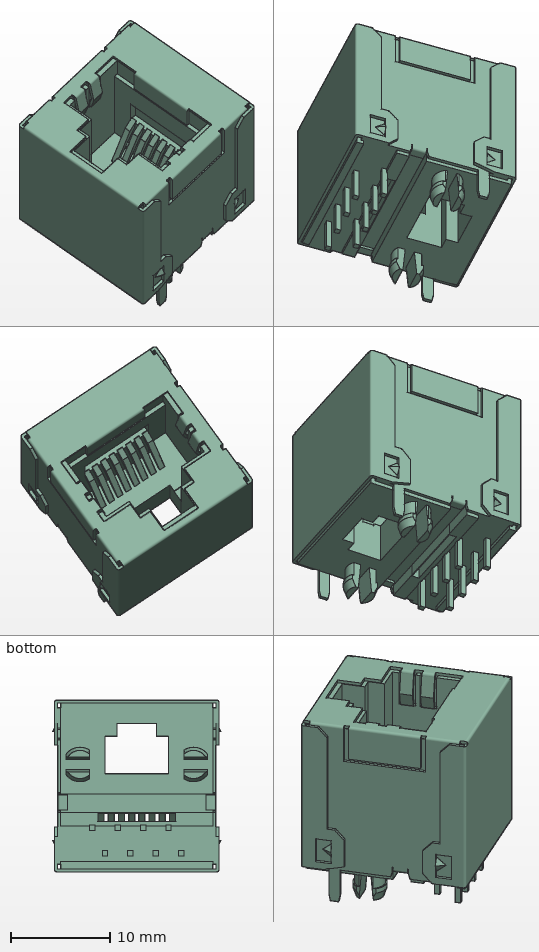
import cadquery as cq


SHEET = 0.32
SHIELD_X, SHIELD_Y = 16.59, 17.3
SHIELD_TOP = 16.11
BEND = 0.28
PANEL_X = 7.95
BODY_X = PANEL_X - SHEET
BODY_Y = SHIELD_Y / 2 - SHEET
BODY_TOP = SHIELD_TOP - SHEET
END_PANEL_HALF = 7.6
SIDE_PANEL_HALF = 7.88

FLAP_TOP_Y, FLAP_WAIST_Y, FLAP_SHOULDER_Y, FLAP_TIP_Y = 6.9, 5.91, 5.12, 4.12
FLAP_WAIST_Z, FLAP_SHOULDER_Z, FLAP_TIP_Z = 14.83, 4.59, 3.57
BACK_FLAP_FOOT = ((FLAP_TIP_Y, 1.0), (5.08, 0))
FRONT_FLAP_FOOT = ((FLAP_TIP_Y, 0.6), (6.3, 0))
WINDOW_Y0, WINDOW_Y1 = 5.48, 7.11
WINDOW_Z0, WINDOW_Z1 = 0.77, 3.33
SPIKE_X, SPIKE_Y, SPIKE_Z = 8.45, 6.46, 2.1
SPIKE_HALF_HEIGHT = 0.79

TAB_HALF, TAB_BOTTOM = 3.78, 12.59
TAB_GAP, TAB_GAP_BELOW = 0.51, 0.32
NOTCH_Y0, NOTCH_Y1 = 0.8, 2.68
NOTCH_TAPER = 0.15
FOOT_Z0 = 0.53
FOOT_Z1 = FOOT_Z0 + SHEET
FOOT_LENGTH = 0.98
FOOT_SLIT, FOOT_SLIT_TOP = 0.1, 1.06
SLIT_Y0, SLIT_Y1 = NOTCH_Y0, NOTCH_Y1 - NOTCH_TAPER
LEG_Y, LEG_WIDTH, LEG_TIP_WIDTH = -5.25, 1.18, 0.87
LEG_TAPER_Z = -2.8
PIN_BOTTOM = -3.59

CAVITY_HALF, CAVITY_BACK, CAVITY_FRONT = 5.99, 3.55, -3.27
LATCH_HALF, LATCH_FRONT = 3.2, -4.98
TONGUE_HALF, TONGUE_FRONT = 1.97, -7.35
MOUTH_HALF, MOUTH_BACK, MOUTH_FRONT = 6.52, 3.95, -3.65
MOUTH_LATCH_HALF, MOUTH_LATCH_FRONT = 3.29, -5.4
MOUTH_TONGUE_HALF, MOUTH_TONGUE_FRONT = 2.09, -7.86
FLOOR_Z, FLOOR_STEP, FLOOR_STEP_Y = 3.94, 0.2, -1.99
LEDGE_Z = 13.55
FLOOR_HOLE_BACK, RAMP_Y, RAMP_RISE = -1.25, -6.26, 0.15
LIP_HALF, LIP_THICKNESS = 3.53, 0.3
LIP_BEND = 0.25
RECESS_BACK = 3.98

SPRING_CENTERS = (0.5, -1.71)
SPRING_WIDTH, SPRING_SLOT = 1.34, 1.73
SPRING_KNEE_X, SPRING_KNEE_Z = 5.54, 13.7
SPRING_END_X, SPRING_END_Z = 5.87, 12.31
SPRING_BEND_X, SPRING_BEND = 6.26, 0.32
SPRING_POCKET_Z = SPRING_END_Z

CONTACTS = 8
CONTACT_PITCH, CONTACT_WIDTH, CONTACT_THICKNESS = 1.02, 0.63, 0.3
CONTACT_KNEE_Y, CONTACT_TIP_Y = 2.75, 0.65
CONTACT_ROOT_Z, CONTACT_KNEE_Z = 8.18, 7.39
COMB_HALF = CONTACT_PITCH * (CONTACTS - 1) / 2 + CONTACT_WIDTH / 2
WINDOW_TOP, WINDOW_BOTTOM, WINDOW_DEPTH = 10.7, 7.98, 1.58
BAR_TOP, BAR_DEPTH, BAR_RADIUS = 9.85, 0.79, 0.75
PIN_PITCH, PIN_X, PIN_Y = 1.28, 0.53, 0.55
PIN_ROWS = (4.2, 6.74)

BASE_Z = -0.43
RECESS_Y0, RECESS_Y1 = 4.02, 7.58
PEG_X, PEG_Y = 5.71, -2.17
PEG_INNER_FLAT, PEG_OUTER_FLAT = 0.95, 1.4
PEG_R, PEG_BARB_R, PEG_TIP_R = 1.58, 1.73, 1.42
PEG_BARB_TOP, PEG_BARB_BOTTOM, PEG_BOTTOM = -2.0, -2.5, -3.43
PEG_SLOT_TOP, PEG_SLOT_BOTTOM = 0.98, 1.5

OVER = 0.2


def block(x0, x1, y0, y1, z0, z1):
    return cq.Workplane("XY").box(x1 - x0, y1 - y0, z1 - z0, centered=False).translate((x0, y0, z0))


def extrude_x(points, x0, x1):
    """Extrude a closed (y, z) outline from x0 to x1."""
    return cq.Workplane("YZ").workplane(offset=x0).polyline(points).close().extrude(x1 - x0)


def both_sides(shape):
    return shape.union(shape.mirror("YZ"))


def mouth_prism(half, back, front, latch_half, latch_front, tongue_half, tongue_front, z0, z1):
    """Stepped plug opening: wide part, latch part and narrow tongue part."""
    return (
        block(-half, half, front, back, z0, z1)
        .union(block(-latch_half, latch_half, latch_front, back, z0, z1))
        .union(block(-tongue_half, tongue_half, tongue_front, back, z0, z1))
    )


def body():
    shape = block(-BODY_X, BODY_X, -BODY_Y, BODY_Y, BASE_Z, BODY_TOP)
    top = SHIELD_TOP
    shape = shape.cut(mouth_prism(
        CAVITY_HALF, CAVITY_BACK, CAVITY_FRONT, LATCH_HALF, LATCH_FRONT,
        TONGUE_HALF, TONGUE_FRONT, FLOOR_Z, top))
    shape = shape.cut(block(-CAVITY_HALF, CAVITY_HALF, 0, RECESS_BACK, LEDGE_Z, top))
    shape = shape.cut(block(
        -CAVITY_HALF, CAVITY_HALF, CAVITY_FRONT, FLOOR_STEP_Y, FLOOR_Z - FLOOR_STEP, FLOOR_Z))
    shape = shape.cut(block(
        -LATCH_HALF, LATCH_HALF, LATCH_FRONT, FLOOR_HOLE_BACK, BASE_Z, FLOOR_Z))
    shape = shape.cut(block(-TONGUE_HALF, TONGUE_HALF, RAMP_Y, FLOOR_HOLE_BACK, BASE_Z, FLOOR_Z))
    ramp = extrude_x(
        [(RAMP_Y, FLOOR_Z), (TONGUE_FRONT, FLOOR_Z), (RAMP_Y, FLOOR_Z + RAMP_RISE)],
        -TONGUE_HALF, TONGUE_HALF)
    shape = shape.union(ramp)
    for y in SPRING_CENTERS:
        shape = shape.cut(block(
            -MOUTH_HALF, MOUTH_HALF, y - SPRING_SLOT / 2, y + SPRING_SLOT / 2,
            SPRING_POCKET_Z, top))
    shape = shape.cut(block(
        -COMB_HALF, COMB_HALF, CONTACT_KNEE_Y, CAVITY_BACK, BASE_Z, FLOOR_Z))
    shape = shape.cut(block(
        -COMB_HALF, COMB_HALF, CAVITY_BACK, CAVITY_BACK + WINDOW_DEPTH, WINDOW_BOTTOM, WINDOW_TOP))
    bar = block(
        -COMB_HALF, COMB_HALF, CAVITY_BACK + WINDOW_DEPTH - BAR_DEPTH,
        CAVITY_BACK + WINDOW_DEPTH + OVER, WINDOW_BOTTOM - OVER, BAR_TOP)
    bar = bar.edges("|X and >Z and <Y").fillet(BAR_RADIUS)
    shape = shape.union(bar)
    shape = shape.cut(block(-BODY_X, BODY_X, RECESS_Y0, RECESS_Y1, BASE_Z, 0))
    return shape.cut(block(-BODY_X, BODY_X, NOTCH_Y0, NOTCH_Y1, BASE_Z, FOOT_Z1))


def shield_cover():
    """Top plate with the end and side panels bent down from it."""
    half_y = SHIELD_Y / 2
    ends = block(-END_PANEL_HALF, END_PANEL_HALF, -half_y, half_y, 0, SHIELD_TOP)
    ends = ends.edges("|X and >Z").fillet(BEND)
    sides = block(-PANEL_X, PANEL_X, -SIDE_PANEL_HALF, SIDE_PANEL_HALF, 0, SHIELD_TOP)
    sides = sides.edges("|Y and >Z").fillet(BEND)
    inside = block(-BODY_X, BODY_X, -BODY_Y, BODY_Y, 0, BODY_TOP)
    cover = ends.union(sides).cut(inside)
    cover = cover.cut(mouth_prism(
        MOUTH_HALF, MOUTH_BACK, MOUTH_FRONT, MOUTH_LATCH_HALF, MOUTH_LATCH_FRONT,
        MOUTH_TONGUE_HALF, MOUTH_TONGUE_FRONT, BODY_TOP - OVER, SHIELD_TOP + OVER))
    return cover.cut(both_sides(tab_slot())).cut(both_sides(foot_opening())).union(both_sides(foot()))


def tab_slot():
    """U-shaped slot around the tongue of the +X panel."""
    slot_half = TAB_HALF + TAB_GAP
    x0, x1 = END_PANEL_HALF, PANEL_X
    slot = block(x0, x1, -slot_half, slot_half, TAB_BOTTOM - TAB_GAP_BELOW, SHIELD_TOP)
    return slot.cut(block(x0, x1, -TAB_HALF, TAB_HALF, TAB_BOTTOM, SHIELD_TOP))


def foot_opening():
    """Tapered notch in the lower edge of the +X panel and the space for its foot."""
    notch = extrude_x(
        [(SLIT_Y0 - NOTCH_TAPER, 0), (NOTCH_Y1, 0), (SLIT_Y1, FOOT_Z0), (SLIT_Y0, FOOT_Z0)],
        BODY_X, PANEL_X)
    return notch.union(block(BODY_X, PANEL_X, SLIT_Y0, SLIT_Y1, FOOT_Z0, FOOT_SLIT_TOP))


def foot():
    """Foot of the +X panel, bent inward under the body."""
    y0, y1 = SLIT_Y0 + FOOT_SLIT, SLIT_Y1 - FOOT_SLIT
    inner_x = PANEL_X - FOOT_LENGTH
    shape = block(inner_x, PANEL_X, y0, y1, FOOT_Z0, FOOT_SLIT_TOP)
    shape = shape.edges("|Y and >X and <Z").fillet(BEND)
    return shape.cut(block(inner_x, BODY_X, y0, y1, FOOT_Z1, FOOT_SLIT_TOP))


def flap_outline(foot, side):
    """(y, z) outline of a corner flap; side is +1 at the back and -1 at the front."""
    top = SHIELD_TOP - BEND
    points = [
        (SHIELD_Y / 2, 0), (SHIELD_Y / 2, top), (FLAP_TOP_Y, top), (FLAP_WAIST_Y, FLAP_WAIST_Z),
        (FLAP_WAIST_Y, FLAP_SHOULDER_Z), (FLAP_SHOULDER_Y, FLAP_SHOULDER_Z),
        (FLAP_TIP_Y, FLAP_TIP_Z), *foot,
    ]
    return [(side * y, z) for y, z in points]


def corner_flaps():
    half_x, half_y = SHIELD_X / 2, SHIELD_Y / 2
    frame = block(-half_x, half_x, -half_y, half_y, 0, SHIELD_TOP - BEND)
    frame = frame.edges("|Z").fillet(BEND)
    frame = frame.cut(block(-PANEL_X, PANEL_X, -BODY_Y, BODY_Y, 0, SHIELD_TOP))
    keep = extrude_x(flap_outline(BACK_FLAP_FOOT, 1), -half_x, half_x)
    keep = keep.union(extrude_x(flap_outline(FRONT_FLAP_FOOT, -1), -half_x, half_x))
    flaps = frame.intersect(keep)
    for y0, y1 in ((WINDOW_Y0, WINDOW_Y1), (-WINDOW_Y1, -WINDOW_Y0)):
        for x0, x1 in ((PANEL_X, half_x), (-half_x, -PANEL_X)):
            flaps = flaps.cut(block(x0, x1, y0, y1, WINDOW_Z0, WINDOW_Z1))
    return flaps


def latch_spike():
    """Pointed latch on the +X panel at the inner edge of the back window."""
    top = cq.Vector(PANEL_X, WINDOW_Y0, SPIKE_Z + SPIKE_HALF_HEIGHT)
    peak = cq.Vector(SPIKE_X, WINDOW_Y0, SPIKE_Z)
    bottom = cq.Vector(PANEL_X, WINDOW_Y0, SPIKE_Z - SPIKE_HALF_HEIGHT)
    tail = cq.Vector(PANEL_X, SPIKE_Y, SPIKE_Z)
    triangles = ((top, peak, bottom), (top, peak, tail), (peak, bottom, tail), (top, bottom, tail))
    faces = [cq.Face.makeFromWires(cq.Wire.makePolygon(corners, close=True)) for corners in triangles]
    return cq.Workplane(cq.Solid.makeSolid(cq.Shell.makeShell(faces)))


def leg():
    half, tip = LEG_WIDTH / 2, LEG_TIP_WIDTH / 2
    outline = [(LEG_Y - half, OVER), (LEG_Y - half, LEG_TAPER_Z), (LEG_Y - tip, PIN_BOTTOM),
               (LEG_Y + tip, PIN_BOTTOM), (LEG_Y + half, LEG_TAPER_Z), (LEG_Y + half, OVER)]
    return extrude_x(outline, BODY_X, PANEL_X)


def lip():
    """Tongue bent down from the back edge of the mouth onto the ledge."""
    front = MOUTH_BACK - LIP_THICKNESS
    shape = block(-LIP_HALF, LIP_HALF, front, MOUTH_BACK + OVER, LEDGE_Z, SHIELD_TOP)
    return shape.edges("|X and >Z and <Y").fillet(LIP_BEND)


def ground_spring(y):
    """Spring on the +X side: leans into the mouth, then turns back at its knee."""
    top, root_x = SHIELD_TOP, MOUTH_HALF + OVER
    bend_x = SPRING_BEND_X - SPRING_BEND
    profile = (
        cq.Workplane("XZ")
        .moveTo(root_x, top)
        .lineTo(SPRING_BEND_X, top)
        .radiusArc((bend_x, top - SPRING_BEND), -SPRING_BEND)
        .lineTo(SPRING_KNEE_X, SPRING_KNEE_Z)
        .lineTo(SPRING_END_X, SPRING_END_Z)
        .lineTo(SPRING_END_X + SHEET, SPRING_END_Z)
        .lineTo(SPRING_KNEE_X + SHEET, SPRING_KNEE_Z)
        .lineTo(SPRING_BEND_X, top - SPRING_BEND)
        .lineTo(root_x, BODY_TOP)
        .close()
    )
    return profile.extrude(SPRING_WIDTH / 2, both=True).translate((0, y, 0))


def contact(x):
    """Wire from the back wall over its knee and down to the cavity floor."""
    t = CONTACT_THICKNESS
    back = CAVITY_BACK + OVER
    outline = [(back, CONTACT_ROOT_Z), (CONTACT_KNEE_Y, CONTACT_KNEE_Z), (CONTACT_TIP_Y, FLOOR_Z),
               (CONTACT_TIP_Y + t, FLOOR_Z), (CONTACT_KNEE_Y + t, CONTACT_KNEE_Z - 2 * t),
               (back, CONTACT_ROOT_Z - 2 * t)]
    return extrude_x(outline, x - CONTACT_WIDTH / 2, x + CONTACT_WIDTH / 2)


def pin(x, y):
    return block(x - PIN_X / 2, x + PIN_X / 2, y - PIN_Y / 2, y + PIN_Y / 2, PIN_BOTTOM, OVER)


def peg():
    """Split snap-in peg with a barb, flattened on its -X and +X sides."""
    profile = [(0, BASE_Z + OVER), (PEG_R, BASE_Z + OVER), (PEG_R, PEG_BARB_TOP),
               (PEG_BARB_R, PEG_BARB_TOP), (PEG_BARB_R, PEG_BARB_BOTTOM),
               (PEG_TIP_R, PEG_BOTTOM), (0, PEG_BOTTOM)]
    shape = cq.Workplane("XZ").polyline(profile).close().revolve(360, (0, 0), (0, 1))
    shape = shape.intersect(block(
        -PEG_INNER_FLAT, PEG_OUTER_FLAT, -PEG_BARB_R, PEG_BARB_R, PEG_BOTTOM, BASE_Z + OVER))
    top, bottom = PEG_SLOT_TOP / 2, PEG_SLOT_BOTTOM / 2
    split = extrude_x(
        [(-top, BASE_Z), (top, BASE_Z), (bottom, PEG_BOTTOM), (-bottom, PEG_BOTTOM)],
        -PEG_INNER_FLAT, PEG_OUTER_FLAT)
    return shape.cut(split).translate((PEG_X, PEG_Y, 0))


result = body().union(shield_cover()).union(corner_flaps()).union(lip())

spike = latch_spike()
result = result.union(both_sides(spike.union(spike.mirror("XZ"))))
result = result.union(both_sides(leg())).union(both_sides(peg()))

for spring_y in SPRING_CENTERS:
    result = result.union(both_sides(ground_spring(spring_y)))

for i in range(CONTACTS):
    step = i - (CONTACTS - 1) / 2
    result = result.union(contact(step * CONTACT_PITCH))
    result = result.union(pin(step * PIN_PITCH, PIN_ROWS[i % 2]))